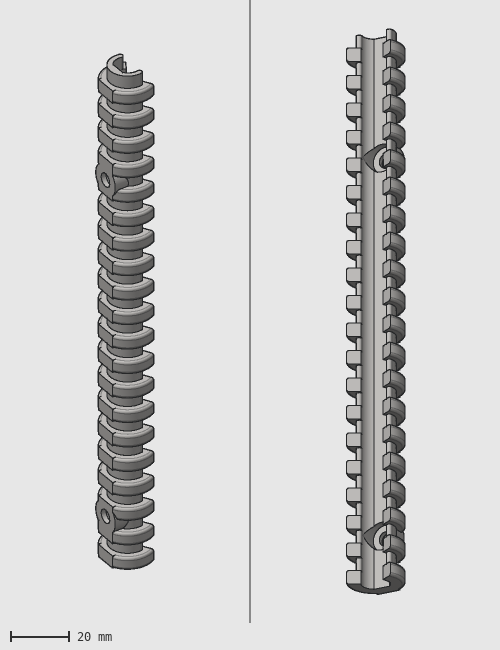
import cadquery as cq
import math

length = 200.0
ring_radius = 10.0
tube_radius = 7.0
bore_radius = 5.0

ring_pitch = 10.0
ring_height = ring_pitch / 2
ring_count = int(length / ring_pitch)
ring_fillet = 1.0
ring_end_angle = 30.0

mount_flat = 9.0
bore_floor = 4.0

tube_edge_y = 1.0

hole_diameter = 5.2
counterbore_diameter = 10.0
counterbore_wall = 1.0
boss_diameter = counterbore_diameter + 2 * counterbore_wall
screw_seat = 2.0
hole_heights = (18.8, 156.2)


def centred_block(width, y_min, y_max, height):
    """Block standing on Z = 0, centred on X."""
    return (
        cq.Workplane("XY")
        .rect(width, y_max - y_min)
        .extrude(height)
        .translate((0, (y_min + y_max) / 2, 0))
    )


def mount_cylinder(diameter, height, y_start, y_end):
    """Cylinder along Y through the given height."""
    return (
        cq.Workplane("XZ", origin=(0, y_start, height))
        .circle(diameter / 2)
        .extrude(y_start - y_end)
    )


def tube():
    """Solid trough with a round edge along the top of each side wall."""
    outer_x = math.sqrt(tube_radius**2 - tube_edge_y**2)
    inner_x = math.sqrt(bore_radius**2 - tube_edge_y**2)
    crest_x = (outer_x + inner_x) / 2
    crest_y = tube_edge_y + (outer_x - inner_x) / 2
    return (
        cq.Workplane("XY")
        .moveTo(-outer_x, tube_edge_y)
        .threePointArc((0, -tube_radius), (outer_x, tube_edge_y))
        .threePointArc((crest_x, crest_y), (inner_x, tube_edge_y))
        .lineTo(-inner_x, tube_edge_y)
        .threePointArc((-crest_x, crest_y), (-outer_x, tube_edge_y))
        .close()
        .extrude(length)
    )


def ring():
    """Open ring with rounded rims, radial ends and a square-edged mounting pad."""
    disc = cq.Workplane("XY").circle(ring_radius).extrude(ring_height).edges().fillet(ring_fillet)

    reach = 2 * ring_radius
    reach_y = reach * math.tan(math.radians(ring_end_angle))
    opening = (
        cq.Workplane("XY")
        .polyline([(0, 0), (reach, reach_y), (0, 2 * reach), (-reach, reach_y)])
        .close()
        .extrude(ring_height)
    )

    below_flat = centred_block(2 * ring_radius, -ring_radius, -mount_flat, ring_height)
    pad_width = 2 * math.sqrt(ring_radius**2 - mount_flat**2)
    pad = centred_block(pad_width, -mount_flat, -bore_floor, ring_height)
    return disc.cut(opening).cut(below_flat).union(pad)


def bore():
    """Round bore with a flat floor on the mounting side."""
    below_floor = centred_block(2 * bore_radius, -bore_radius, -bore_floor, length)
    return cq.Workplane("XY").circle(bore_radius).extrude(length).cut(below_floor)


body = tube()
one_ring = ring()
for index in range(ring_count):
    body = body.union(one_ring.translate((0, 0, index * ring_pitch)))
for height in hole_heights:
    body = body.union(mount_cylinder(boss_diameter, height, -mount_flat, 0))

body = body.cut(bore())

seat_y = screw_seat - mount_flat
for height in hole_heights:
    body = body.cut(mount_cylinder(hole_diameter, height, -mount_flat, seat_y))
    body = body.cut(mount_cylinder(counterbore_diameter, height, seat_y, 0))

result = body